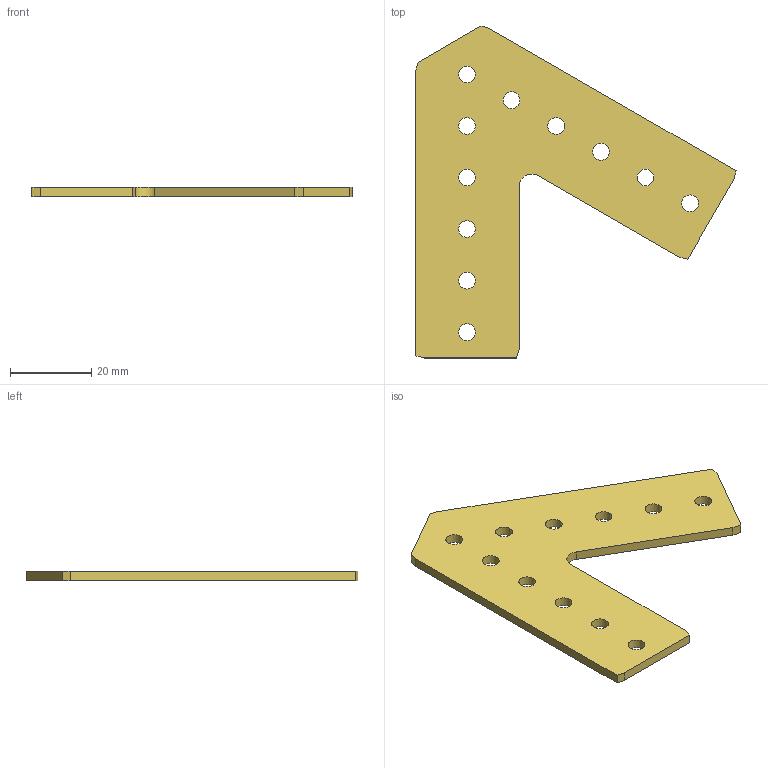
import cadquery as cq
import math


thickness = 2.29
pitch = 12.7
holes_per_arm = 6
hole_diameter = 4.13
arm_width = 2 * pitch
outer_width = 12.57
inner_width = arm_width - outer_width
arm_end = 69.85
arm_angle = -90.0
spread = 60.0
inner_radius = 3.175

nose_cut_start = 1.05
nose_cut_width = 0.52
nose_cut_length = 1.94
outer_cut_width = 2.1
outer_cut_length = 0.55
inner_cut_width = 0.6
inner_cut_length = 2.2

bisector = math.radians(arm_angle + spread / 2)


def mirrored(point):
    """Reflect a point across the bisector of the arms."""
    x, y = point
    c = math.cos(2 * bisector)
    s = math.sin(2 * bisector)
    return (c * x + s * y, s * x - c * y)


def plate():
    crotch = (inner_width, inner_width * math.tan(bisector))
    tangent_length = inner_radius / math.tan(math.radians(spread / 2))
    round_start = (inner_width, crotch[1] - tangent_length)
    center_distance = inner_radius / math.sin(math.radians(spread / 2))
    reach = math.hypot(*crotch) + center_distance - inner_radius
    round_middle = (reach * math.cos(bisector), reach * math.sin(bisector))

    half = [
        (nose_cut_width - outer_width, nose_cut_start + nose_cut_length),
        (-outer_width, nose_cut_start),
        (-outer_width, outer_cut_length - arm_end),
        (outer_cut_width - outer_width, -arm_end),
        (inner_width - inner_cut_width, -arm_end),
        (inner_width, inner_cut_length - arm_end),
        round_start,
    ]
    other_half = [mirrored(point) for point in reversed(half)]
    return (
        cq.Workplane("XY")
        .polyline(half)
        .threePointArc(round_middle, other_half[0])
        .polyline(other_half[1:], includeCurrent=True)
        .close()
        .extrude(thickness)
    )


def hole_centers():
    shared = [(0, 0)]
    first_arm = [(0, -i * pitch) for i in range(1, holes_per_arm)]
    second_arm = [mirrored(point) for point in first_arm]
    return shared + first_arm + second_arm


def holes():
    return cq.Workplane("XY").pushPoints(hole_centers()).circle(hole_diameter / 2).extrude(thickness)


result = plate().cut(holes())